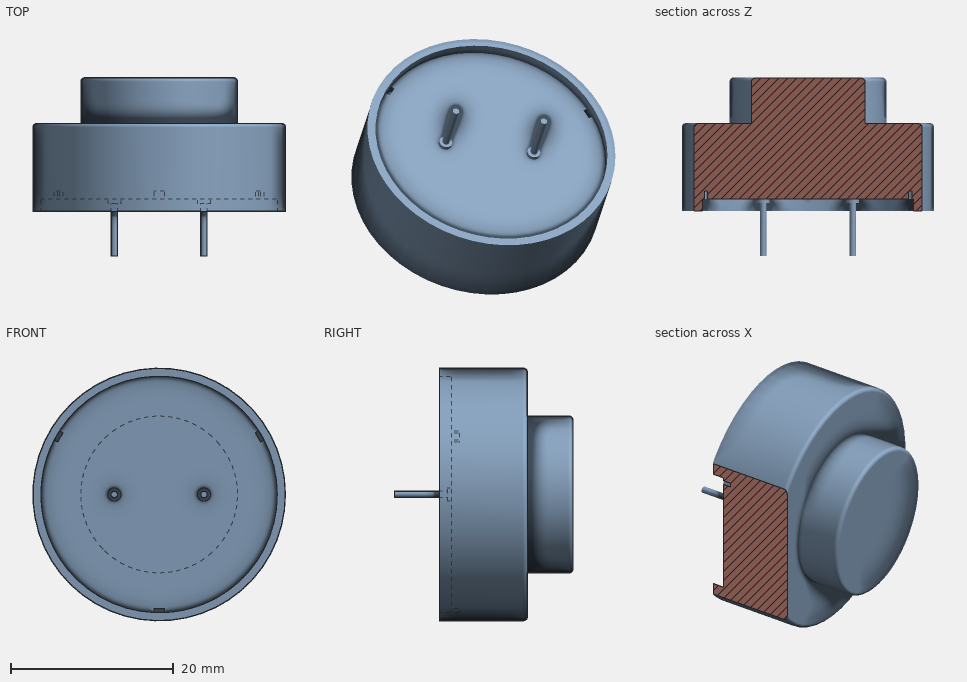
import cadquery as cq

body_diameter = 31.0
body_length = 10.8
wall_thickness = 1.0
recess_depth = 1.5
recess_radius = body_diameter / 2 - wall_thickness

cap_diameter = 19.25
cap_length = 5.6
edge_radius = 0.5

pin_spacing = 11.0
pin_diameter = 0.8
pin_reach = 5.5
collar_diameter = 1.6
collar_height = 0.5

notch_count = 3
notch_width = 1.3
notch_radial_length = 0.5
notch_depth = 1.0


def cylinder_along_y(diameter, start_y, end_y, x=0.0):
    """Round bar parallel to Y, centred on the given X."""
    return (
        cq.Workplane("XZ", origin=(x, end_y, 0))
        .circle(diameter / 2)
        .extrude(end_y - start_y)
    )


def make_housing():
    """Body and cap with rounded far edges and the open recess."""
    body = cylinder_along_y(body_diameter, 0, body_length).faces(">Y").edges().fillet(edge_radius)
    cap = cylinder_along_y(cap_diameter, recess_depth, body_length + cap_length)
    cap = cap.faces(">Y").edges().fillet(edge_radius)
    recess = cylinder_along_y(2 * recess_radius, 0, recess_depth)
    return body.union(cap).cut(recess)


def make_notch(angle):
    """Cutter for one notch, turned about Y from the -Z position; its outer face follows the recess wall."""
    block = (
        cq.Workplane("XY")
        .box(notch_width, notch_depth, notch_radial_length, centered=(True, False, False))
        .translate((0, recess_depth, -recess_radius))
        .rotate((0, 0, 0), (0, 1, 0), angle)
    )
    recess_bore = cylinder_along_y(2 * recess_radius, recess_depth, recess_depth + notch_depth)
    return block.intersect(recess_bore)


def make_terminal(x):
    """One pin with its collar."""
    collar = cylinder_along_y(collar_diameter, recess_depth - collar_height, recess_depth, x)
    pin = cylinder_along_y(pin_diameter, -pin_reach, recess_depth, x)
    return collar.union(pin)


result = make_housing()
for index in range(notch_count):
    result = result.cut(make_notch(index * 360 / notch_count))
for side in (-1, 1):
    result = result.union(make_terminal(side * pin_spacing / 2))